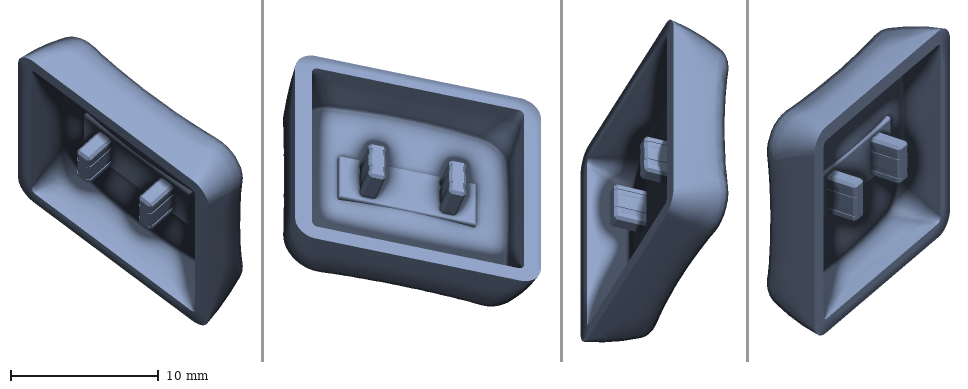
import cadquery as cq


WIDTH = 17.45
LENGTH = 16.45
BLANK_HEIGHT = 5.24
SECTIONS = 4
RIM_CORNER = 1.47
CORNER_GROWTH = 0.35
SIDE_CURVE = 0.01834
END_CURVE = 0.03782
TOP_FILLET = 1.2

DISH_RADIUS = 46.07
DISH_BOTTOM = 3.58
TOP_THICKNESS = 1.2

SIDE_WALL = 1.2
END_WALL = 1.1
CAVITY_CORNER = 0.38
CAVITY_CORNER_GROWTH = 0.47
CAVITY_SIDE_CURVE = 0.02693
CAVITY_END_CURVE = 0.04871
CAVITY_FILLET = 0.21

PAD_WIDTH = 9.77
PAD_LENGTH = 3.73
PAD_FACE = 2.29
PAD_CORNER = 0.09
PAD_FILLET = 0.2
PAD_ROOT = 0.7

LEG_SPACING = 5.69
LEG_WIDTH = 1.2
LEG_LENGTH = 3.0
LEG_CHAMFER = 0.2
GROOVE_DEPTH = 0.05
GROOVE_WIDTH = 0.49
GROOVE_OFFSET = 0.75

BUMP_RADIUS = 0.77
BUMP_TOP = 4.25
BUMP_Z = -5.24


def rounded_section(y, width, length, corner):
    """Rounded rectangle of the given size, centred on the Y axis at height y."""
    outline = cq.Workplane("XZ", origin=(0, y, 0)).rect(width, length).extrude(-0.17)
    outline = outline.edges("|Y").fillet(corner)
    return outline.faces("<Y").wires().val()


def curved_block(width, length, corner, growth, side_curve, end_curve):
    """Block rising along +Y: walls curve inwards while the corners grow rounder."""
    sections = []
    for i in range(SECTIONS):
        y = BLANK_HEIGHT * i / (SECTIONS - 1)
        sections.append(
            rounded_section(
                y,
                width - 2 * side_curve * y**2,
                length - 2 * end_curve * y**2,
                corner + growth * y,
            )
        )
    return cq.Workplane(obj=cq.Solid.makeLoft(sections))


def dish(bottom, radius):
    """Sphere whose lowest point touches the Y axis at the given height."""
    return cq.Workplane("XY").sphere(radius).translate((0, bottom + radius, 0))


def make_shell():
    """Dished outer body hollowed by a cavity whose ceiling follows the dish."""
    body = curved_block(WIDTH, LENGTH, RIM_CORNER, CORNER_GROWTH, SIDE_CURVE, END_CURVE)
    body = body.cut(dish(DISH_BOTTOM, DISH_RADIUS))
    body = body.faces(">Y").edges().fillet(TOP_FILLET)

    cavity = curved_block(
        WIDTH - 2 * SIDE_WALL,
        LENGTH - 2 * END_WALL,
        CAVITY_CORNER,
        CAVITY_CORNER_GROWTH,
        CAVITY_SIDE_CURVE,
        CAVITY_END_CURVE,
    )
    cavity = cavity.cut(dish(DISH_BOTTOM - TOP_THICKNESS, DISH_RADIUS + TOP_THICKNESS))
    cavity = cavity.faces(">Y").edges().fillet(CAVITY_FILLET)
    return body.cut(cavity)


def make_pad():
    """Flat rectangular pad with rounded edges, sunk into the underside of the top."""
    pad = cq.Workplane("XZ", origin=(0, PAD_FACE, 0))
    pad = pad.rect(PAD_WIDTH, PAD_LENGTH).extrude(-PAD_ROOT)
    pad = pad.edges("|Y").fillet(PAD_CORNER)
    return pad.faces("<Y").edges().fillet(PAD_FILLET)


def leg_prism(width, length):
    """Plain bar from the rim plane up into the pad."""
    return cq.Workplane("XZ").rect(width, length).extrude(-(PAD_FACE + PAD_ROOT))


def make_leg():
    """Chamfered leg with two shallow grooves along each broad side."""
    leg = leg_prism(LEG_WIDTH, LEG_LENGTH).edges("|Y or <Y").chamfer(LEG_CHAMFER)
    core = leg_prism(LEG_WIDTH - 2 * GROOVE_DEPTH, GROOVE_WIDTH)
    core = core.faces("<Y").edges("|Z").chamfer(LEG_CHAMFER)
    for z in (-GROOVE_OFFSET, GROOVE_OFFSET):
        slot = leg_prism(LEG_WIDTH, GROOVE_WIDTH).cut(core)
        leg = leg.cut(slot.translate((0, 0, z)))
    return leg


def make_bump():
    """Round homing bump rising from the dish."""
    return cq.Workplane("XY").sphere(BUMP_RADIUS).translate((0, BUMP_TOP - BUMP_RADIUS, BUMP_Z))


result = make_shell().union(make_pad()).union(make_bump())
for x in (-LEG_SPACING / 2, LEG_SPACING / 2):
    result = result.union(make_leg().translate((x, 0, 0)))